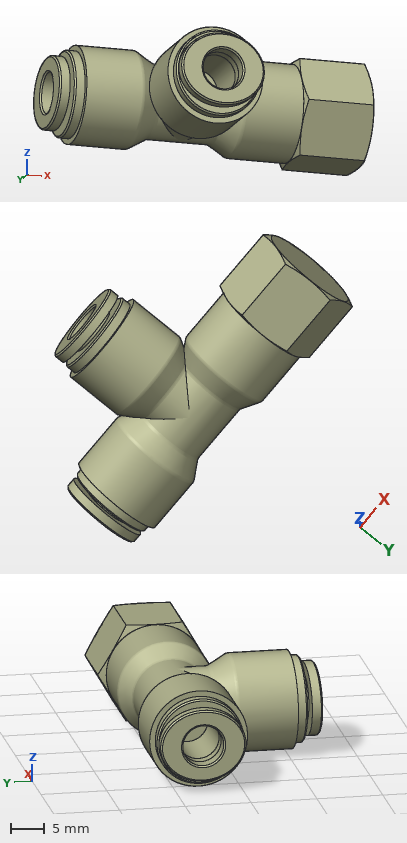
import cadquery as cq
import math


run_port = cq.Vector(-1, 0, 0)
branch_port = cq.Vector(0, -1, 0)
nut_port = cq.Vector(1, 0, 0)
tube_ports = [run_port, branch_port]

port_reach = 20.95
total_length = 48.95
nut_end = total_length - port_reach

body_diameter = 14.9
waist_diameter = 11.35
shoulder_start = 4.95
cone_angle = 30.0
shoulder_blend = 1.0
body_end_depth = 3.9
floor_offset = 8.3

bore_diameter = 6.2
bore_chamfer = 0.25
neck_diameter = 7.5
flange_width = 12.95
flange_height = 11.05
flange_thickness = 1.6
flange_chamfer = 0.25

collar_diameter = 13.15
collar_face_depth = 2.3
collar_chamfer = 0.25

nut_start = 17.0
nut_sides = 6
nut_across_flats = 15.0
nut_across_corners = nut_across_flats / math.cos(math.pi / nut_sides)
nut_face_diameter = body_diameter
nut_chamfer_length = 0.45

port_body_end = port_reach - body_end_depth
shoulder_length = (body_diameter - waist_diameter) / 2 / math.tan(math.radians(cone_angle))
shoulder_end = shoulder_start + shoulder_length
flange_back = port_reach - flange_thickness
collar_face = port_reach - collar_face_depth


def port_plane(direction, distance):
    """Plane across a port, facing outwards, with the wide flange direction as its local X."""
    return cq.Plane(origin=direction * distance, xDir=direction.cross(cq.Vector(0, 0, 1)), normal=direction)


def cylinder(direction, start, end, diameter):
    """Round bar along a port between two distances from the tee centre."""
    return cq.Workplane(port_plane(direction, start)).circle(diameter / 2).extrude(end - start)


def cone(direction, start, end, start_diameter, end_diameter):
    """Truncated cone along a port between two distances from the tee centre."""
    return (
        cq.Workplane(port_plane(direction, start))
        .circle(start_diameter / 2)
        .workplane(offset=end - start)
        .circle(end_diameter / 2)
        .loft()
    )


def outer_rim(solid, direction):
    """Edges of the face that looks out of the port."""
    return solid.faces(cq.selectors.DirectionMinMaxSelector(direction)).edges()


def arm(direction, length):
    """Solid arm of the tee: waist, blended cone and full-size cylinder."""
    waist = cylinder(direction, 0, shoulder_start, waist_diameter)
    shoulder = cone(direction, shoulder_start, shoulder_end, waist_diameter, body_diameter)
    barrel = cylinder(direction, shoulder_end, length, body_diameter)
    solid = waist.union(shoulder).union(barrel)
    shoulder_rims = [
        edge
        for edge in solid.edges("%CIRCLE").vals()
        if any(
            math.isclose(edge.Center().dot(direction), distance, rel_tol=1e-6)
            for distance in (shoulder_start, shoulder_end)
        )
    ]
    return solid.newObject(shoulder_rims).fillet(shoulder_blend)


def make_tee_body():
    """Three arms that meet at the origin, with a blind tube bore in each tube port."""
    body = arm(run_port, port_body_end).union(arm(nut_port, nut_start)).union(arm(branch_port, port_body_end))
    for direction in tube_ports:
        body = body.cut(cylinder(direction, floor_offset, port_body_end, bore_diameter))
    return body


def make_collar(direction):
    """Ring standing on the end of the body, chamfered on its outer rim."""
    collar = cylinder(direction, port_body_end, collar_face, collar_diameter)
    collar = outer_rim(collar, direction).chamfer(collar_chamfer)
    return collar.cut(cylinder(direction, port_body_end, collar_face, bore_diameter))


def make_sleeve(direction):
    """Release sleeve: oval push flange on a round neck that meets the collar face."""
    flange = (
        cq.Workplane(port_plane(direction, flange_back))
        .ellipse(flange_width / 2, flange_height / 2)
        .extrude(flange_thickness)
    )
    flange = outer_rim(flange, direction).chamfer(flange_chamfer)
    sleeve = flange.union(cylinder(direction, collar_face, flange_back, neck_diameter))
    sleeve = sleeve.cut(cylinder(direction, collar_face, port_reach, bore_diameter))
    mouth_diameter = bore_diameter + 2 * bore_chamfer
    mouth = cone(direction, port_reach - bore_chamfer, port_reach, bore_diameter, mouth_diameter)
    return sleeve.cut(mouth)


def make_nut():
    """Hexagon with a corner on the Y axis, its corners turned down at both ends."""
    hexagon = (
        cq.Workplane(port_plane(nut_port, nut_start))
        .polygon(nut_sides, nut_across_corners)
        .extrude(nut_end - nut_start)
    )
    face_radius = nut_face_diameter / 2
    corner_radius = nut_across_corners / 2
    turned_envelope = (
        cq.Workplane("XY")
        .moveTo(nut_start, 0)
        .lineTo(nut_start, face_radius)
        .lineTo(nut_start + nut_chamfer_length, corner_radius)
        .lineTo(nut_end - nut_chamfer_length, corner_radius)
        .lineTo(nut_end, face_radius)
        .lineTo(nut_end, 0)
        .close()
        .revolve(360, (0, 0, 0), (1, 0, 0))
    )
    return hexagon.intersect(turned_envelope)


tee_body = make_tee_body()
nut = make_nut()
collars = [make_collar(direction) for direction in tube_ports]
sleeves = [make_sleeve(direction) for direction in tube_ports]

result = cq.Compound.makeCompound(
    [tee_body.val(), nut.val()]
    + [collar.val() for collar in collars]
    + [sleeve.val() for sleeve in sleeves]
)